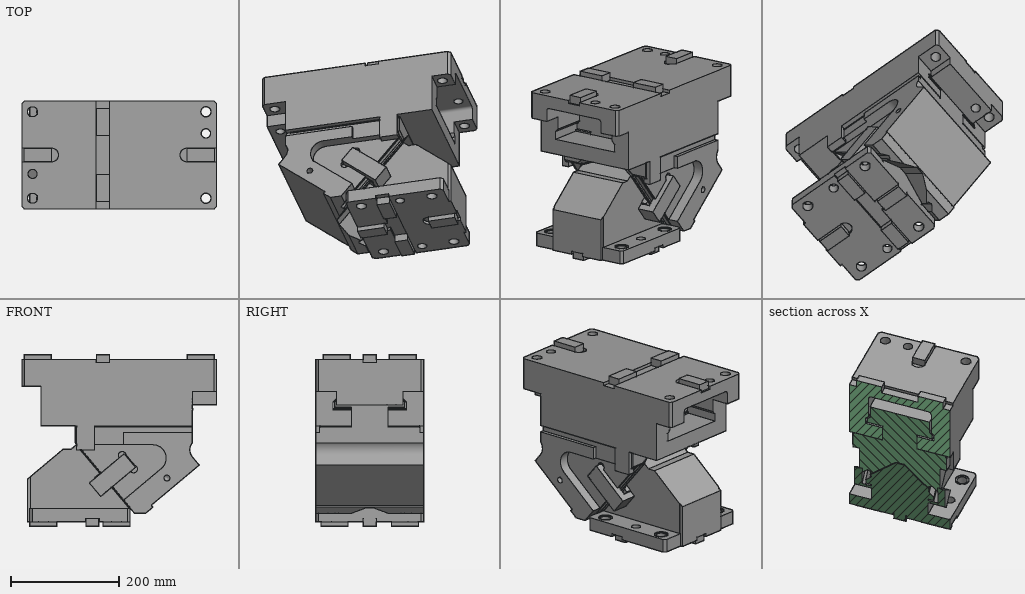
import cadquery as cq
import math

LENGTH = 360.0
WIDTH = 200.0
HEIGHT = 318.0
HALF = WIDTH / 2
CORNER = 5.0
OVERLAP = 3.5

KEY_RISE = 9.0
KEY_SLOT_DEPTH = 5.8
KEY_SLOT_WIDTH = 25.2
KEY_WIDTH = 24.5
KEY_LENGTH = 50.5
CROSS_KEY_Y = 61.0

HOLDER_TOP = HEIGHT - KEY_RISE
HOLDER_BOTTOM = 186.0
BODY_X0 = 35.0
BODY_X1 = 315.0
LEFT_LUG_Z = 259.2
RIGHT_LUG_Z = 249.0
CROSS_SLOT_X = 149.8
LUG_HOLE_X = 19.8
LUG_HOLE_Y = 80.0
LUG_HOLE_DIA = 18.5
DOWEL_DIA = 17.0
LEFT_DOWEL_Y = -35.0
RIGHT_DOWEL_Y = 40.0
END_KEY_INSET = 4.5
END_SLOT_LENGTH = 67.5
CAVITY_HALF = 62.0
CAVITY_TOP = 285.0
CAVITY_CORNER = 20.5
CAVITY_FILLET = 5.8
CHANNEL_FOOT_HALF = 67.5
CHANNEL_SHOULDER_Z = 235.5
CHANNEL_FOOT_Z = 229.5
CHANNEL_FLOOR = 215.0
END_BLOCK_Z = 225.0
RAIL_THICKNESS = 3.0
RAIL_OVERHANG = 1.5
LEG_X0 = 101.0
LEG_X1 = 134.5
LEG_BOTTOM = 141.5
HOOK_TOP = 150.5
HOOK_INNER_Y = 86.5

SLIDER_X0 = 98.3
SLIDER_TOP = 183.5
SLIDER_FLOOR = 24.5
WING_HALF = 93.0
PAD_HALF = 91.5
PAD_X1 = 307.8
CHEEK_X0 = 187.5
CHEEK_TOP = 174.0
POCKET_TOP = 151.2
POCKET_RADIUS = 25.0
POCKET_CENTER_X = 242.0
POCKET_FLOOR_Y = 80.3
NECK_HALF = 34.0
TONGUE_HALF = 59.0
TONGUE_FOOT_HALF = 64.8
TONGUE_TOP = 261.5
TONGUE_BOTTOM = 220.5
NOTCH_TOP = (BODY_X1, 154.5)
NOTCH_MIDDLE = (310.5, 142.0)
NOTCH_BOTTOM = (315.7, 128.0)
TOOL_FACE_TOP = (328.0, 113.5)
TOOL_FACE_BOTTOM = (239.5, 39.2)
HEEL = (242.3, 35.5)
SLIDER_FLOOR_X1 = 229.0
SIDE_HOLE = (268.2, 89.5)
SIDE_HOLE_DIA = 10.8
SIDE_HOLE_DEPTH = 21.5
SIDE_HOLE_TIP = 3.2

TILT = 40.0
JOINT_Z = 155.0
ROOF_ANGLE = 30.0
RIDGE_HALF = 8.0
GROOVE_HALF = 61.5
RIDGE_HEIGHT = 30.5
ROOF_THICKNESS = 3.5
ROOF_SETBACK = 0.7
ROOF_BOTTOM = -1.5
JOINT_REACH = 288.0
RELIEF_START = 4.5
RELIEF_PROFILE = [(57.5, 0), (57.5, 5.8), (64.0, 7.5), (77.0, 0)]

HOOK_LOW = -27.7
HOOK_LENGTH = 84.0
HOOK_START = 74.0
HOOK_WIDTH = 32.8
HOOK_ARM = 12.0
HOOK_OUTER_Y = 90.0
HOOK_BAR_Y = 75.0
HOOK_END_GAP = 1.5
HOOK_RELIEF_DIA = 14.5
HOOK_RELIEF_INSET = 4.5
FIN_LEAD = 1.0
FIN_PROFILE = [(54.0, -14.5), (67.5, -14.5), (67.5, -8.3), (54.0, 0)]

FOOT_X0 = 14.5
FOOT_X1 = 200.0
FOOT_BOTTOM = 8.5
FOOT_TOP = 33.5
COLUMN_X0 = 10.0
COLUMN_HALF = 56.5
ROOF_HALF = 58.5
NOSE_HALF = 55.0
NOSE_X1 = 15.5
SLOPE_START_Z = 87.5
SLOPE_LEDGE_Z = 143.0
SLOPE_LEDGE_LENGTH = 14.8
FOOT_HOLE_X = [40.0, 174.5]
FOOT_DOWEL_X = 100.8
FOOT_HOLE_Y = 80.3
FOOT_HOLE_DIA = 18.7
FOOT_BORE_DIA = 25.2
FOOT_BORE_DEPTH = 1.8
FOOT_CROSS_SLOT_X = 130.5
FOOT_CROSS_KEY_Y = 65.0
FOOT_END_SLOT = 63.0

COS = math.cos(math.radians(TILT))
SIN = math.sin(math.radians(TILT))
ROOF_RISE = math.tan(math.radians(ROOF_ANGLE))


def box(x0, x1, y0, y1, z0, z1):
    return cq.Workplane("XY").box(x1 - x0, y1 - y0, z1 - z0, centered=False).translate((x0, y0, z0))


def both_sides(solid):
    """The solid together with its mirror image across Y = 0."""
    return solid.union(solid.mirror("XZ"))


def side_profile(points, y0, y1):
    """An XZ outline extruded from y0 to y1."""
    return cq.Workplane("XZ", origin=(0, y0, 0)).polyline(points).close().extrude(y0 - y1)


def joint_point(across, along):
    """XZ point at a distance across the joint plane (up and right) and along it (down and right)."""
    return (SLIDER_X0 + across * COS + along * SIN, JOINT_Z + across * SIN - along * COS)


def joint_plane(along):
    """Section plane of the joint: local x is Y, local y points across the joint."""
    x, z = joint_point(0, along)
    return cq.Workplane(cq.Plane(origin=(x, 0, z), xDir=(0, 1, 0), normal=(SIN, 0, -COS)))


def vertical_hole(x, y, z0, z1, diameter):
    return cq.Workplane("XY", origin=(x, y, z0)).circle(diameter / 2).extrude(z1 - z0)


def end_slot(x_end, length, direction, z0):
    """Round-ended key slot that starts at an end face and runs along +X or -X."""
    radius = KEY_SLOT_WIDTH / 2
    tip = x_end + direction * (length - radius)
    straight = box(min(x_end, tip), max(x_end, tip), -radius, radius, z0, z0 + KEY_SLOT_DEPTH)
    return straight.union(vertical_hole(tip, 0, z0, z0 + KEY_SLOT_DEPTH, KEY_SLOT_WIDTH))


def key_along_x(x0, z0):
    return box(x0, x0 + KEY_LENGTH, -KEY_WIDTH / 2, KEY_WIDTH / 2, z0, z0 + KEY_RISE + KEY_SLOT_DEPTH)


def keys_along_y(x, y, z0):
    key = box(x - KEY_WIDTH / 2, x + KEY_WIDTH / 2, y - KEY_LENGTH / 2, y + KEY_LENGTH / 2,
              z0, z0 + KEY_RISE + KEY_SLOT_DEPTH)
    return both_sides(key)


def cross_slot(x, z0):
    return box(x - KEY_SLOT_WIDTH / 2, x + KEY_SLOT_WIDTH / 2, -HALF, HALF, z0, z0 + KEY_SLOT_DEPTH)


def holder_block():
    left_lug = box(0, BODY_X0, -HALF, HALF, LEFT_LUG_Z, HOLDER_TOP).edges("|Z and <X").chamfer(CORNER)
    right_lug = box(BODY_X1, LENGTH, -HALF, HALF, RIGHT_LUG_Z, HOLDER_TOP)
    right_lug = right_lug.edges("|Z and >X").chamfer(CORNER)
    body = box(BODY_X0, BODY_X1, -HALF, HALF, HOLDER_BOTTOM, HOLDER_TOP)
    end_block = box(BODY_X1, LENGTH, -CAVITY_HALF, CAVITY_HALF, END_BLOCK_Z, RIGHT_LUG_Z)
    return body.union(left_lug).union(right_lug).union(end_block)


def holder_cavity():
    """T channel along X, with a round-cornered upper part and a neck slot through the bottom."""
    section = [
        (CAVITY_HALF, TONGUE_TOP), (CAVITY_HALF, CHANNEL_SHOULDER_Z),
        (CHANNEL_FOOT_HALF, CHANNEL_FOOT_Z), (CHANNEL_FOOT_HALF, CHANNEL_FLOOR),
    ]
    section += [(-y, z) for y, z in reversed(section)]
    channel = cq.Workplane("YZ").polyline(section).close().extrude(BODY_X1)
    upper = box(-CAVITY_CORNER, BODY_X1, -CAVITY_HALF, CAVITY_HALF, TONGUE_TOP, CAVITY_TOP)
    upper = upper.edges("|Z and >X").fillet(CAVITY_CORNER).faces(">Z").edges().fillet(CAVITY_FILLET)
    neck_slot = box(SLIDER_X0, BODY_X1, -NECK_HALF, NECK_HALF, HOLDER_BOTTOM, CHANNEL_FLOOR)
    return channel.union(upper).union(neck_slot)


def holder_rails():
    rail = box(SLIDER_X0, BODY_X1 + RAIL_OVERHANG, NECK_HALF, CHANNEL_FOOT_HALF,
               CHANNEL_FLOOR, CHANNEL_FLOOR + RAIL_THICKNESS)
    return both_sides(rail)


def holder_legs():
    leg = box(LEG_X0, LEG_X1, WING_HALF, HALF, LEG_BOTTOM, HOLDER_BOTTOM)
    hook = box(LEG_X0, LEG_X1, HOOK_INNER_Y, HALF, LEG_BOTTOM, HOOK_TOP)
    return both_sides(leg.union(hook))


def make_holder():
    slot_floor = HOLDER_TOP - KEY_SLOT_DEPTH
    holder = holder_block().cut(holder_cavity()).union(holder_rails()).union(holder_legs())
    holder = holder.cut(cross_slot(CROSS_SLOT_X, slot_floor))
    holder = holder.cut(end_slot(0, END_SLOT_LENGTH, 1, slot_floor))
    holder = holder.cut(end_slot(LENGTH, END_SLOT_LENGTH, -1, slot_floor))
    for x in (LUG_HOLE_X, LENGTH - LUG_HOLE_X):
        for y in (-LUG_HOLE_Y, LUG_HOLE_Y):
            holder = holder.cut(vertical_hole(x, y, RIGHT_LUG_Z, HOLDER_TOP, LUG_HOLE_DIA))
    holder = holder.cut(vertical_hole(LUG_HOLE_X, LEFT_DOWEL_Y, LEFT_LUG_Z, HOLDER_TOP, DOWEL_DIA))
    holder = holder.cut(vertical_hole(LENGTH - LUG_HOLE_X, RIGHT_DOWEL_Y, END_BLOCK_Z, HOLDER_TOP, DOWEL_DIA))
    holder = holder.union(key_along_x(END_KEY_INSET, slot_floor))
    holder = holder.union(key_along_x(LENGTH - END_KEY_INSET - KEY_LENGTH, slot_floor))
    return holder.union(keys_along_y(CROSS_SLOT_X, CROSS_KEY_Y, slot_floor))


def slider_block():
    bottom_x = SLIDER_X0 + (JOINT_Z - SLIDER_FLOOR) * SIN / COS
    outline = (
        cq.Workplane("XZ", origin=(0, HALF, 0))
        .moveTo(SLIDER_X0, JOINT_Z).lineTo(SLIDER_X0, SLIDER_TOP).lineTo(BODY_X1, SLIDER_TOP)
        .lineTo(*NOTCH_TOP).threePointArc(NOTCH_MIDDLE, NOTCH_BOTTOM)
        .lineTo(*TOOL_FACE_TOP).lineTo(*TOOL_FACE_BOTTOM).lineTo(*HEEL)
        .lineTo(SLIDER_FLOOR_X1, SLIDER_FLOOR).lineTo(bottom_x, SLIDER_FLOOR).close()
    )
    return outline.extrude(WIDTH)


def slider_side_cuts():
    """Steps beside the wings, hook pockets with their slots, and the small side holes."""
    front = box(SLIDER_X0, CHEEK_X0, WING_HALF, HALF, POCKET_TOP, SLIDER_TOP)
    top = box(CHEEK_X0, BODY_X1, WING_HALF, HALF, CHEEK_TOP, SLIDER_TOP)
    center_z = POCKET_TOP - POCKET_RADIUS
    right = (POCKET_CENTER_X + POCKET_RADIUS * COS, center_z + POCKET_RADIUS * SIN)
    low = (POCKET_CENTER_X + POCKET_RADIUS * SIN, center_z - POCKET_RADIUS * COS)
    pocket = (
        cq.Workplane("XZ", origin=(0, POCKET_FLOOR_Y, 0))
        .moveTo(0, POCKET_TOP).lineTo(POCKET_CENTER_X, POCKET_TOP)
        .threePointArc(right, low).lineTo(low[0] - JOINT_REACH * COS, low[1] - JOINT_REACH * SIN).close()
        .extrude(POCKET_FLOOR_Y - HALF)
    )
    slot = hook_bar(HOOK_END_GAP)
    for along in (HOOK_START, HOOK_START + HOOK_WIDTH):
        x, z = joint_point(HOOK_LOW + HOOK_LENGTH - HOOK_RELIEF_INSET, along)
        relief = cq.Workplane("XZ", origin=(x, HOOK_BAR_Y, z)).circle(HOOK_RELIEF_DIA / 2)
        slot = slot.union(relief.extrude(HOOK_BAR_Y - HOOK_OUTER_Y))
    hole_floor = cq.Vector(SIDE_HOLE[0], HALF - SIDE_HOLE_DEPTH, SIDE_HOLE[1])
    outward = cq.Vector(0, 1, 0)
    hole = cq.Solid.makeCylinder(SIDE_HOLE_DIA / 2, SIDE_HOLE_DEPTH, hole_floor, outward)
    tip = cq.Solid.makeCone(SIDE_HOLE_DIA / 2, 0, SIDE_HOLE_TIP, hole_floor, -outward)
    cuts = front.union(top).union(pocket).union(slot)
    return both_sides(cuts.union(cq.Workplane(hole)).union(cq.Workplane(tip)))


def slider_groove():
    depth = (GROOVE_HALF - RIDGE_HALF) * ROOF_RISE
    section = [
        (GROOVE_HALF, -OVERLAP), (GROOVE_HALF, 0), (RIDGE_HALF, depth),
        (-RIDGE_HALF, depth), (-GROOVE_HALF, 0), (-GROOVE_HALF, -OVERLAP),
    ]
    groove = joint_plane(-JOINT_REACH).polyline(section).close().extrude(2 * JOINT_REACH)
    relief = joint_plane(RELIEF_START).polyline(RELIEF_PROFILE).close().extrude(JOINT_REACH)
    return groove.union(both_sides(relief))


def slider_tongue():
    pad = box(SLIDER_X0, PAD_X1, -PAD_HALF, PAD_HALF, SLIDER_TOP, HOLDER_BOTTOM)
    neck = box(SLIDER_X0, BODY_X1, -NECK_HALF, NECK_HALF, SLIDER_TOP, TONGUE_BOTTOM)
    section = [
        (TONGUE_HALF, TONGUE_TOP), (TONGUE_HALF, CHANNEL_SHOULDER_Z),
        (TONGUE_FOOT_HALF, CHANNEL_FOOT_Z), (TONGUE_FOOT_HALF, TONGUE_BOTTOM),
    ]
    section += [(-y, z) for y, z in reversed(section)]
    head = cq.Workplane("YZ", origin=(SLIDER_X0, 0, 0)).polyline(section).close().extrude(BODY_X1 - SLIDER_X0)
    return pad.union(neck).union(head)


def make_slider():
    return slider_block().cut(slider_side_cuts()).cut(slider_groove()).union(slider_tongue())


def hook_outline(across0, across1):
    along1 = HOOK_START + HOOK_WIDTH
    return [joint_point(across0, HOOK_START), joint_point(across1, HOOK_START),
            joint_point(across1, along1), joint_point(across0, along1)]


def hook_bar(end_gap=0.0):
    across_end = HOOK_LOW + HOOK_LENGTH + end_gap
    return side_profile(hook_outline(HOOK_LOW, across_end), HOOK_BAR_Y, HOOK_OUTER_Y)


def driver_hooks():
    arm = side_profile(hook_outline(HOOK_LOW, HOOK_LOW + HOOK_ARM), COLUMN_HALF - OVERLAP, HOOK_OUTER_Y)
    fin = joint_plane(HOOK_START - FIN_LEAD).polyline(FIN_PROFILE).close().extrude(HOOK_WIDTH + FIN_LEAD)
    return both_sides(hook_bar().union(arm).union(fin))


def driver_foot():
    foot = box(FOOT_X0, FOOT_X1, -HALF, HALF, FOOT_BOTTOM, FOOT_TOP).edges("|Z").chamfer(CORNER)
    for y in (-FOOT_HOLE_Y, FOOT_HOLE_Y):
        for x in FOOT_HOLE_X:
            foot = foot.cut(vertical_hole(x, y, 0, FOOT_TOP, FOOT_HOLE_DIA))
            foot = foot.cut(vertical_hole(x, y, FOOT_TOP - FOOT_BORE_DEPTH, FOOT_TOP, FOOT_BORE_DIA))
        foot = foot.cut(vertical_hole(FOOT_DOWEL_X, y, 0, FOOT_TOP, DOWEL_DIA))
    return foot


def roof_bar(half, ridge, bottom, start):
    """Bar along the joint with a flat ridge and two roof faces, reaching down to `bottom` across it."""
    eave = ridge - (half - RIDGE_HALF) * ROOF_RISE
    section = [(RIDGE_HALF, ridge), (half, eave), (half, bottom)]
    section += [(-y, across) for y, across in reversed(section)]
    return joint_plane(start).polyline(section).close().extrude(2 * JOINT_REACH)


def driver_column():
    ledge_x = COLUMN_X0 + (SLOPE_LEDGE_Z - SLOPE_START_Z) * COS / SIN
    rise_x = ledge_x + SLOPE_LEDGE_LENGTH
    rise_z = SLOPE_LEDGE_Z + (FOOT_X1 - rise_x) * SIN / COS
    sides = [
        (COLUMN_X0, FOOT_BOTTOM), (COLUMN_X0, SLOPE_START_Z), (ledge_x, SLOPE_LEDGE_Z),
        (rise_x, SLOPE_LEDGE_Z), (FOOT_X1, rise_z), (FOOT_X1, FOOT_BOTTOM),
    ]
    plan = [(COLUMN_X0, NOSE_HALF), (NOSE_X1, NOSE_HALF), (NOSE_X1, COLUMN_HALF), (FOOT_X1, COLUMN_HALF)]
    plan += [(x, -y) for x, y in reversed(plan)]
    side_view = side_profile(sides, -HALF, HALF)
    column = side_view.intersect(cq.Workplane("XY").polyline(plan).close().extrude(HEIGHT))
    core = roof_bar(COLUMN_HALF, RIDGE_HEIGHT - ROOF_THICKNESS, -JOINT_REACH, -JOINT_REACH)
    ledge_along = (rise_x - SLIDER_X0) * SIN - (SLOPE_LEDGE_Z - JOINT_Z) * COS
    roof = roof_bar(ROOF_HALF, RIDGE_HEIGHT, ROOF_BOTTOM, ledge_along + ROOF_SETBACK)
    return column.intersect(core).union(roof.intersect(box(0, FOOT_X1, -HALF, HALF, FOOT_TOP, HEIGHT)))


def make_driver():
    driver = driver_foot().union(driver_column()).union(driver_hooks())
    driver = driver.cut(cross_slot(FOOT_CROSS_SLOT_X, FOOT_BOTTOM))
    driver = driver.cut(end_slot(COLUMN_X0, FOOT_END_SLOT + FOOT_X0 - COLUMN_X0, 1, FOOT_BOTTOM))
    driver = driver.cut(end_slot(FOOT_X1, FOOT_END_SLOT, -1, FOOT_BOTTOM))
    driver = driver.union(key_along_x(FOOT_X0, 0)).union(key_along_x(FOOT_X1 - KEY_LENGTH, 0))
    return driver.union(keys_along_y(FOOT_CROSS_SLOT_X, FOOT_CROSS_KEY_Y, 0))


holder = make_holder()
slider = make_slider()
driver = make_driver()
result = cq.Compound.makeCompound([holder.val(), slider.val(), driver.val()])